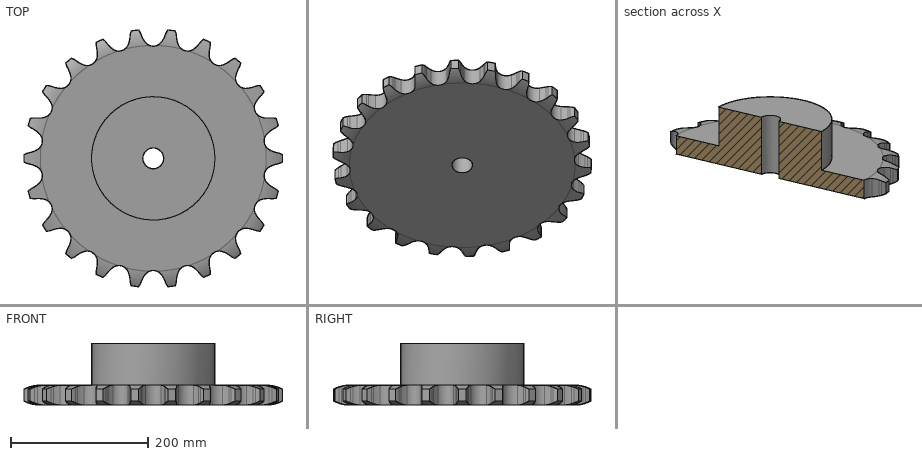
import cadquery as cq
import math

tooth_count = 22
chain_pitch = 50.8
roller_diameter = 29.21
seat_clearance = 0.0015

tip_diameter = 377.49
plate_thickness = 29.4
overall_height = 90.0
hub_diameter = 180.0
bore_diameter = 30.0

relief_inner_radius = 164.8
relief_arc_radius = chain_pitch

seat_ratio = 0.5025
working_centre_ratio = 0.8
topping_centre_ratio = 1.4
tip_radius = tip_diameter / 2
tooth_angle = 2 * math.pi / tooth_count
pitch_radius = chain_pitch / (2 * math.sin(tooth_angle / 2))
seat_end_angle = math.radians(35 + 60 / tooth_count)
working_sweep = math.radians(18 - 56 / tooth_count)
pressure_angle = math.radians(17 - 64 / tooth_count)
straight_angle = seat_end_angle - working_sweep
working_centre_distance = working_centre_ratio * roller_diameter
topping_centre_distance = topping_centre_ratio * roller_diameter
seat_radius = seat_ratio * roller_diameter + seat_clearance
working_radius = seat_radius + working_centre_distance
topping_radius = (
    working_centre_distance * math.cos(working_sweep)
    + topping_centre_distance * math.cos(pressure_angle)
    - working_radius
)


def polar(radius, angle):
    """Point at a radius and angle about the sprocket axis."""
    return (radius * math.cos(angle), radius * math.sin(angle))


def rotated(point, angle):
    """Point turned about the sprocket axis."""
    x, y = point
    return (
        x * math.cos(angle) - y * math.sin(angle),
        x * math.sin(angle) + y * math.cos(angle),
    )


def mirrored(point):
    """Point reflected across the X axis."""
    return (point[0], -point[1])


def on_circle(centre, radius, angle):
    """Point on a circle, with the angle measured from +Y toward -X; a negative radius reverses it."""
    return (centre[0] - radius * math.sin(angle), centre[1] + radius * math.cos(angle))


def flank_points():
    """Points along one flank of a gap centred on +X, from the seat out to the tip."""
    seat_centre = (pitch_radius, 0)
    working_centre = on_circle(seat_centre, -working_centre_distance, seat_end_angle)
    topping_centre = on_circle(seat_centre, topping_centre_distance, tooth_angle / 2)

    seat_end = on_circle(working_centre, working_radius, seat_end_angle)
    working_middle = on_circle(working_centre, working_radius, seat_end_angle - working_sweep / 2)
    working_end = on_circle(working_centre, working_radius, straight_angle)
    topping_start = on_circle(topping_centre, -topping_radius, straight_angle)

    centre_distance = math.hypot(*topping_centre)
    squares = tip_radius**2 + centre_distance**2 - topping_radius**2
    angle_to_tip = math.acos(squares / (2 * tip_radius * centre_distance))
    centre_angle = math.atan2(topping_centre[1], topping_centre[0])
    tip_corner = polar(tip_radius, centre_angle - angle_to_tip)
    tip_angle = math.atan2(tip_corner[0] - topping_centre[0], topping_centre[1] - tip_corner[1])
    topping_middle = on_circle(topping_centre, -topping_radius, (straight_angle + tip_angle) / 2)

    return seat_end, working_middle, working_end, topping_start, topping_middle, tip_corner


def toothed_plate():
    """Plate with a roller seat and two flanks per gap; one tooth is centred on +X."""
    flank = flank_points()
    opposite_flank = [mirrored(point) for point in flank]
    root = (pitch_radius - seat_radius, 0)
    tip_corner = opposite_flank[-1]
    half_tooth = tooth_angle / 2
    outline = cq.Workplane("XY").moveTo(*rotated(tip_corner, half_tooth))
    for gap in range(tooth_count):
        gap_angle = gap * tooth_angle + half_tooth

        seat_end, working_middle, working_end, topping_start, topping_middle, _ = [
            rotated(point, gap_angle) for point in opposite_flank
        ]
        outline = outline.threePointArc(topping_middle, topping_start)
        outline = outline.lineTo(*working_end)
        outline = outline.threePointArc(working_middle, seat_end)

        seat_end, working_middle, working_end, topping_start, topping_middle, tip_end = [
            rotated(point, gap_angle) for point in flank
        ]
        outline = outline.threePointArc(rotated(root, gap_angle), seat_end)
        outline = outline.threePointArc(working_middle, working_end)
        outline = outline.lineTo(*topping_start)
        outline = outline.threePointArc(topping_middle, tip_end)

        tip_middle = polar(tip_radius, gap_angle + half_tooth)
        next_corner = rotated(tip_corner, gap_angle + tooth_angle)
        outline = outline.threePointArc(tip_middle, next_corner)
    return outline.close().extrude(plate_thickness)


def relief_envelope():
    """Disc whose rim is rounded toward the tips on both faces."""
    relief_length = tip_radius - relief_inner_radius
    relief_depth = relief_arc_radius - math.sqrt(relief_arc_radius**2 - relief_length**2)
    half_sweep = math.asin(relief_length / relief_arc_radius) / 2
    middle_radius = relief_inner_radius + relief_arc_radius * math.sin(half_sweep)
    middle_depth = relief_arc_radius * (1 - math.cos(half_sweep))
    return (
        cq.Workplane("XZ")
        .lineTo(relief_inner_radius, 0)
        .threePointArc((middle_radius, middle_depth), (tip_radius, relief_depth))
        .lineTo(tip_radius, plate_thickness - relief_depth)
        .threePointArc(
            (middle_radius, plate_thickness - middle_depth),
            (relief_inner_radius, plate_thickness),
        )
        .lineTo(0, plate_thickness)
        .close()
        .revolve(360, (0, 0, 0), (0, 1, 0))
    )


def hub():
    """Plain round hub rising from the lower plate face to full height."""
    return cq.Workplane("XY").circle(hub_diameter / 2).extrude(overall_height)


def bore():
    """Through hole along the axis."""
    return cq.Workplane("XY").circle(bore_diameter / 2).extrude(overall_height)


result = toothed_plate().intersect(relief_envelope()).union(hub()).cut(bore())